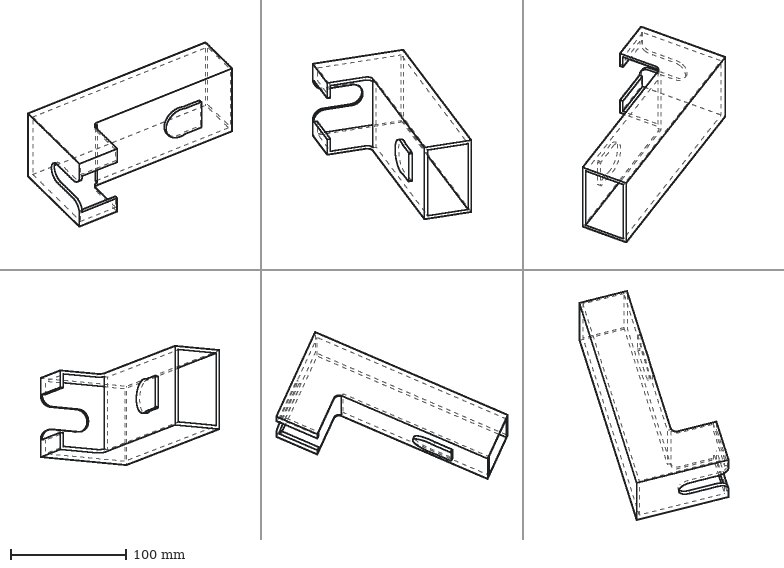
import cadquery as cq
import math

length_x = 83.0
length_y = 183.0
height = 70.0
wall = 3.0
arm_width = 43.0
foot_depth = 39.0
corner_radius = 5.0

slot_width = 20.0
slot_end_x = 38.0
mouth_radius = 10.0
mouth_height = slot_width + 2 * mouth_radius

pad_thickness = 3.0
disc_radius = 15.0
disc_y = 128.0
tail_start_y = 133.0
tail_end_y = 150.0
tail_chamfer = 1.0
tail_half_width = math.sqrt(disc_radius**2 - (tail_start_y - disc_y) ** 2)


def block(x_start, x_end, y_start, y_end, block_height):
    """Rectangular block between the given X and Y limits, centred on Z = 0."""
    box = cq.Workplane("XY").box(
        x_end - x_start, y_end - y_start, block_height, centered=(False, False, True)
    )
    return box.translate((x_start, y_start, 0))


def make_body():
    """Solid L-shaped body with its inner corner rounded."""
    outline = (
        cq.Workplane("XY")
        .lineTo(length_x, 0)
        .lineTo(length_x, foot_depth)
        .lineTo(arm_width + corner_radius, foot_depth)
        .radiusArc((arm_width, foot_depth + corner_radius), corner_radius)
        .lineTo(arm_width, length_y)
        .lineTo(0, length_y)
        .close()
    )
    return outline.extrude(height / 2, both=True)


def make_cavity():
    """Hollow of the foot and the arm, open on the +Y side of both."""
    cavity_height = height - 2 * wall
    foot_back = foot_depth + corner_radius
    foot_cavity = block(wall, length_x - wall, wall, foot_back, cavity_height)
    arm_cavity = block(wall, arm_width - wall, wall, length_y, cavity_height)
    return foot_cavity.union(arm_cavity)


def make_slot():
    """Round-ended slot with a flared mouth, through the front wall."""
    half_width = slot_width / 2
    flare_x = length_x - mouth_radius
    straight_x = slot_end_x + half_width
    profile = (
        cq.Workplane("XZ")
        .moveTo(length_x, mouth_height / 2)
        .radiusArc((flare_x, half_width), mouth_radius)
        .lineTo(straight_x, half_width)
        .threePointArc((slot_end_x, 0), (straight_x, -half_width))
        .lineTo(flare_x, -half_width)
        .radiusArc((length_x, -mouth_height / 2), mouth_radius)
        .close()
    )
    return profile.extrude(-wall)


def make_end_opening():
    """Opening in the +X end wall of the foot, as tall as the slot mouth."""
    return block(length_x - wall, length_x, wall, foot_depth, mouth_height)


def make_pad():
    """Keyhole-shaped pad: a disc running into a tail with two chamfered corners."""
    profile = (
        cq.Workplane("YZ", origin=(arm_width, 0, 0))
        .moveTo(tail_start_y, tail_half_width)
        .threePointArc((disc_y - disc_radius, 0), (tail_start_y, -tail_half_width))
        .lineTo(tail_end_y, -tail_half_width)
        .lineTo(tail_end_y, tail_half_width)
        .close()
    )
    return profile.extrude(pad_thickness).edges("|X and >Y").chamfer(tail_chamfer)


shell = make_body().cut(make_cavity()).cut(make_slot()).cut(make_end_opening())
result = shell.union(make_pad())